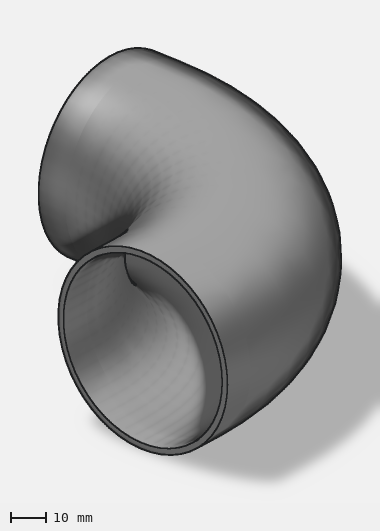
import cadquery as cq

overall_length = 116.8
outer_diameter = 63.5
inner_diameter = 59.5
bend_radius = 75.0
bend_angle = 90.0
collar_length = overall_length - bend_radius - outer_diameter / 2


def elbow(diameter):
    """Solid round elbow whose bend axis is the Z axis."""
    radius = diameter / 2
    inlet_collar = (
        cq.Workplane("YZ").center(bend_radius, 0).circle(radius).extrude(-collar_length)
    )
    outlet_collar = (
        cq.Workplane("XZ").center(bend_radius, 0).circle(radius).extrude(collar_length)
    )
    bend = (
        cq.Workplane("XZ")
        .center(bend_radius, 0)
        .circle(radius)
        .revolve(bend_angle, (-bend_radius, 0), (-bend_radius, 1))
    )
    return bend.union(inlet_collar).union(outlet_collar)


result = elbow(outer_diameter).cut(elbow(inner_diameter))